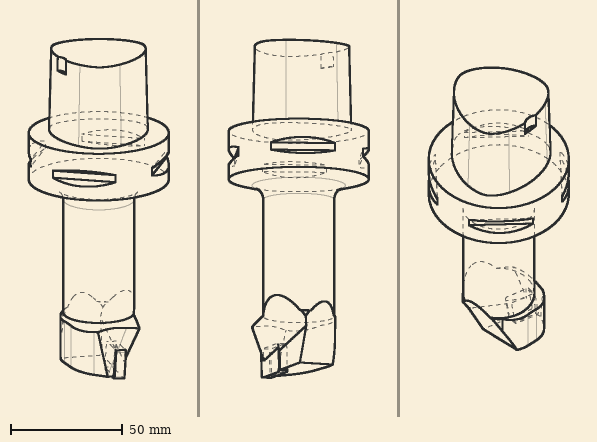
import cadquery as cq
import math

FLANGE_RADIUS = 31.5
FLANGE_HEIGHT = 22.0

SHANK_LENGTH = 38.0
SHANK_WIDTH = 44.4
SHANK_ECCENTRICITY = 1.7
SHANK_TAPER = 1 / 20
LOBE_COUNT = 3
FLAT_HALF_ANGLE = 22.0
SPLINE_STEPS = 6

NOTCH_RADIUS = 6.0
NOTCH_DEPTH = 6.4
NOTCH_FLOOR_Y = -18.2

GROOVE_COUNT = 4
GROOVE_CENTRE_Z = -12.0
GROOVE_FLOOR_RADIUS = 28.0
GROOVE_FLOOR_HEIGHT = 3.3
GROOVE_WALL_ANGLE = 30.0

BAR_RADIUS = 16.0
ROOT_CONE_ANGLE = 15.0
ROOT_FILLET = 6.7

HEAD_TOP_Z = -84.5
HEAD_CONE_ANGLE = 34.0
HEAD_CORE_RADIUS = 16.4
JAW_BACK_Y = -18.0
JAW_FLAT_END_X = 5.5
JAW_SIDE_X = 19.7
JAW_CORNER_RADIUS = 13.1
JAW_CORNER_ANGLE = 55.0
FACET_START_Z = -79.6
FACET_ANGLE = 22.0
RUNOUT_START_Z = -77.0
RUNOUT_ANGLE = 30.0

TIP_X = 22.0
TIP_Z = -110.0
INSERT_THICKNESS = 4.76
INSERT_INSCRIBED = 12.7
INSERT_CORNER_ANGLE = 80.0
NOSE_RADIUS = 0.8
EDGE_CLEARANCE = 5.0
SIDE_TILT = 11.0
AXIAL_TILT = 6.0
RAKE_RECESS = 0.6
SIDE_OVERHANG = 0.8
END_OVERHANG = 0.8

CLEAR = 80.0


def tan(angle):
    return math.tan(math.radians(angle))


def cos(angle):
    return math.cos(math.radians(angle))


def sin(angle):
    return math.sin(math.radians(angle))


def shank_point(width, angle, z):
    """Point of the constant-width curve whose outward normal lies at the given angle from -Y."""
    support = width / 2 - SHANK_ECCENTRICITY * cos(LOBE_COUNT * angle)
    slope = LOBE_COUNT * SHANK_ECCENTRICITY * sin(LOBE_COUNT * angle)
    return cq.Vector(
        support * sin(angle) + slope * cos(angle),
        -support * cos(angle) + slope * sin(angle),
        z,
    )


def shank_span(width, start, end, z):
    """One face's worth of the section, running from one normal angle to another."""
    angles = [start + (end - start) * i / SPLINE_STEPS for i in range(SPLINE_STEPS + 1)]
    tangents = [cq.Vector(cos(a), sin(a), 0) for a in (start, end)]
    return cq.Edge.makeSpline([shank_point(width, a, z) for a in angles], tangents=tangents)


def shank_section(width, z):
    pitch = 360 / LOBE_COUNT
    spans = []
    for i in range(LOBE_COUNT):
        flat_start = i * pitch - FLAT_HALF_ANGLE
        flat_end = i * pitch + FLAT_HALF_ANGLE
        spans.append(shank_span(width, flat_start, flat_end, z))
        spans.append(shank_span(width, flat_end, flat_start + pitch, z))
    return cq.Wire.assembleEdges(spans)


def make_shank():
    top_width = SHANK_WIDTH - SHANK_LENGTH * SHANK_TAPER
    base = shank_section(SHANK_WIDTH, 0)
    top = shank_section(top_width, SHANK_LENGTH)
    shank = cq.Workplane(cq.Solid.makeLoft([base, top], True))
    notch = (
        cq.Workplane("XY", origin=(0, NOTCH_FLOOR_Y - NOTCH_RADIUS, SHANK_LENGTH - NOTCH_DEPTH))
        .circle(NOTCH_RADIUS)
        .extrude(NOTCH_DEPTH)
    )
    return shank.cut(notch)


def make_flange_and_bar():
    """Revolved flange, with a cone and a tangent fillet leading down into the bar."""
    fillet_x = BAR_RADIUS + ROOT_FILLET
    cone_z_at_fillet = -FLANGE_HEIGHT - (FLANGE_RADIUS - fillet_x) * tan(ROOT_CONE_ANGLE)
    fillet_z = cone_z_at_fillet - ROOT_FILLET / cos(ROOT_CONE_ANGLE)

    def fillet_point(angle):
        return (fillet_x - ROOT_FILLET * cos(angle), fillet_z + ROOT_FILLET * sin(angle))

    fillet_sweep = 90 - ROOT_CONE_ANGLE
    return (
        cq.Workplane("XZ")
        .moveTo(0, 0)
        .lineTo(FLANGE_RADIUS, 0)
        .lineTo(FLANGE_RADIUS, -FLANGE_HEIGHT)
        .lineTo(*fillet_point(fillet_sweep))
        .threePointArc(fillet_point(fillet_sweep / 2), fillet_point(0))
        .lineTo(BAR_RADIUS, HEAD_TOP_Z)
        .lineTo(0, HEAD_TOP_Z)
        .close()
        .revolve(360, (0, 0, 0), (0, 1, 0))
    )


def make_groove():
    """Straight trapezoidal groove across the +X side of the flange."""
    depth = FLANGE_RADIUS - GROOVE_FLOOR_RADIUS
    floor_half = GROOVE_FLOOR_HEIGHT / 2
    mouth_half = floor_half + depth * tan(GROOVE_WALL_ANGLE)
    return (
        cq.Workplane("XZ", origin=(0, 0, GROOVE_CENTRE_Z))
        .moveTo(GROOVE_FLOOR_RADIUS, -floor_half)
        .lineTo(FLANGE_RADIUS, -mouth_half)
        .lineTo(FLANGE_RADIUS, mouth_half)
        .lineTo(GROOVE_FLOOR_RADIUS, floor_half)
        .close()
        .extrude(FLANGE_RADIUS, both=True)
    )


RAKE_NORMAL = cq.Vector(tan(SIDE_TILT), 1, -tan(AXIAL_TILT)).normalized()
RAKE_INWARDS = cq.Vector(-1, tan(SIDE_TILT), 0)
RAKE_PLANE = cq.Plane(origin=(TIP_X, 0, TIP_Z), xDir=RAKE_INWARDS, normal=RAKE_NORMAL)


def insert_corner(end_offset=0.0, side_offset=0.0):
    """Sharp corner of the edges, each moved inwards by its offset, in the rake plane."""
    half_corner = INSERT_CORNER_ANGLE / 2
    nose_to_corner = NOSE_RADIUS / sin(half_corner)
    bisector = EDGE_CLEARANCE + half_corner
    x = NOSE_RADIUS - nose_to_corner * cos(bisector)
    y = NOSE_RADIUS - nose_to_corner * sin(bisector)
    along_end = side_offset / sin(INSERT_CORNER_ANGLE)
    along_side = end_offset / sin(INSERT_CORNER_ANGLE)
    return (
        x + along_end * cos(EDGE_CLEARANCE) + along_side * sin(EDGE_CLEARANCE),
        y + along_end * sin(EDGE_CLEARANCE) + along_side * cos(EDGE_CLEARANCE),
    )


def rhombus(plane, corner, side):
    x, y = corner
    long_leg = side * cos(EDGE_CLEARANCE)
    short_leg = side * sin(EDGE_CLEARANCE)
    return (
        cq.Workplane(plane)
        .moveTo(x, y)
        .lineTo(x + long_leg, y + short_leg)
        .lineTo(x + long_leg + short_leg, y + long_leg + short_leg)
        .lineTo(x + short_leg, y + long_leg)
        .close()
    )


def make_insert():
    side = INSERT_INSCRIBED / sin(INSERT_CORNER_ANGLE)
    blank = rhombus(RAKE_PLANE, insert_corner(), side).extrude(-INSERT_THICKNESS)
    return blank.edges(cq.selectors.ParallelDirSelector(RAKE_NORMAL)).fillet(NOSE_RADIUS)


def make_head_blank():
    """Round core with a rounded jaw reaching towards +X and -Y, under a conical shoulder."""
    height = HEAD_TOP_Z - TIP_Z
    corner_y = JAW_BACK_Y + JAW_CORNER_RADIUS

    def right_corner(angle):
        return (JAW_FLAT_END_X + JAW_CORNER_RADIUS * sin(angle), corner_y - JAW_CORNER_RADIUS * cos(angle))

    def left_corner(angle):
        return (-JAW_CORNER_RADIUS * sin(angle), corner_y - JAW_CORNER_RADIUS * cos(angle))

    flank_start = right_corner(JAW_CORNER_ANGLE)
    flank_end = (JAW_SIDE_X, flank_start[1] + (JAW_SIDE_X - flank_start[0]) * tan(JAW_CORNER_ANGLE))
    jaw = (
        cq.Workplane("XY", origin=(0, 0, TIP_Z))
        .moveTo(*left_corner(JAW_CORNER_ANGLE))
        .threePointArc(left_corner(JAW_CORNER_ANGLE / 2), (0, JAW_BACK_Y))
        .lineTo(JAW_FLAT_END_X, JAW_BACK_Y)
        .threePointArc(right_corner(JAW_CORNER_ANGLE / 2), flank_start)
        .lineTo(*flank_end)
        .lineTo(JAW_SIDE_X, HEAD_CORE_RADIUS)
        .lineTo(0, HEAD_CORE_RADIUS)
        .close()
        .extrude(height)
    )
    core = cq.Workplane("XY", origin=(0, 0, TIP_Z)).circle(HEAD_CORE_RADIUS).extrude(height)
    shoulder_drop = (CLEAR - BAR_RADIUS) * tan(HEAD_CONE_ANGLE)
    shoulder = (
        cq.Workplane("XZ")
        .moveTo(0, HEAD_TOP_Z)
        .lineTo(BAR_RADIUS, HEAD_TOP_Z)
        .lineTo(CLEAR, HEAD_TOP_Z - shoulder_drop)
        .lineTo(0, HEAD_TOP_Z - shoulder_drop)
        .close()
        .revolve(360, (0, 0, 0), (0, 1, 0))
    )
    flank_corner = insert_corner(END_OVERHANG, SIDE_OVERHANG)
    flanks = rhombus(RAKE_PLANE, flank_corner, CLEAR).extrude(CLEAR / 2, both=True)
    return jaw.union(core).intersect(shoulder).intersect(flanks)


def make_facet_cut():
    """Material outside the sloping flat on the -X side of the bar end."""
    lower_reach = CLEAR * tan(FACET_ANGLE)
    upper_reach = BAR_RADIUS * tan(FACET_ANGLE)
    return (
        cq.Workplane("XZ")
        .moveTo(-BAR_RADIUS - upper_reach, FACET_START_Z + BAR_RADIUS)
        .lineTo(-BAR_RADIUS + lower_reach, FACET_START_Z - CLEAR)
        .lineTo(-CLEAR, FACET_START_Z - CLEAR)
        .lineTo(-CLEAR, FACET_START_Z + BAR_RADIUS)
        .close()
        .extrude(CLEAR, both=True)
    )


def make_rake_cut():
    """Open space in front of the rake face, running out up the +Y side of the bar."""
    rake_face = cq.Workplane(RAKE_PLANE).workplane(offset=-RAKE_RECESS)
    front = rake_face.rect(2 * CLEAR, 2 * CLEAR).extrude(CLEAR)
    reach = CLEAR * tan(RUNOUT_ANGLE)
    runout = (
        cq.Workplane("YZ")
        .moveTo(BAR_RADIUS, RUNOUT_START_Z)
        .lineTo(BAR_RADIUS - reach, RUNOUT_START_Z - CLEAR)
        .lineTo(CLEAR, RUNOUT_START_Z - CLEAR)
        .lineTo(CLEAR, RUNOUT_START_Z)
        .close()
        .extrude(CLEAR, both=True)
    )
    return front.intersect(runout)


insert = make_insert()

holder = make_flange_and_bar().union(make_shank()).union(make_head_blank())
for i in range(GROOVE_COUNT):
    azimuth = (i + 1 / 2) * 360 / GROOVE_COUNT
    holder = holder.cut(make_groove().rotate((0, 0, 0), (0, 0, 1), azimuth))
holder = holder.cut(make_facet_cut()).cut(make_rake_cut()).cut(insert)

result = cq.Compound.makeCompound([holder.solids().val(), insert.solids().val()])